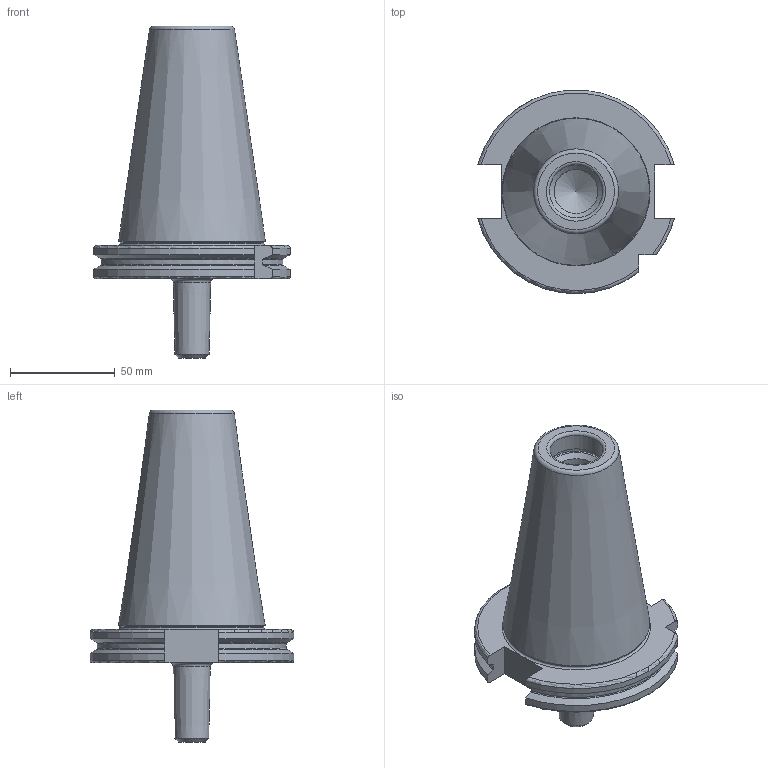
import cadquery as cq
import math

gauge_radius = 69.85 / 2
taper_rate = 7 / 24
taper_length = 101.75
taper_overrun = 1.1
taper_end_fillet = 2.0

relief_radius = 34.4
relief_fillet = 1.0

flange_radius = 97.5 / 2
flange_top = -3.2
flange_bottom = -19.1
flange_thickness = flange_top - flange_bottom
flange_top_fillet = 1.5
flange_bottom_fillet = 1.0

groove_center = -11.1
groove_root_radius = 45.3
groove_rim_width = 7.0
groove_flank_angle = 30
groove_root_fillet = 0.6

drive_slot_width = 25.7
drive_slot_left_face = -35.5
drive_slot_right_face = 37.7
notch_face_x = 30.0
notch_face_y = -30.0

spigot_end = -57.0
spigot_radius = 17.8 / 2
spigot_taper_rate = 0.04
spigot_root_fillet = 1.9
spigot_end_chamfer = 1.8

bore_radius = 25.4 / 2
bore_depth = 11.5
mouth_fillet = 1.5
undercut_radius = 13.8
undercut_width = 2.0
tap_hole_radius = 21.0 / 2
tap_hole_depth = 60.0
drill_half_angle = 59


def taper_radius(z):
    """Radius of the steep taper at height z."""
    return gauge_radius - z * taper_rate / 2


def quarter_arc_inset(radius):
    """Distance, along each axis, from a tangent corner to the middle of its quarter arc."""
    return radius * (1 - math.sqrt(0.5))


def revolve_about_z(profile):
    """Close an XZ profile and spin it around the part axis."""
    return profile.close().revolve(360, (0, 0), (0, 1))


def make_taper():
    """Steep taper shank with a rounded small end and a relieved neck at the large end."""
    taper_end_radius = taper_radius(-taper_overrun)
    relief_depth = taper_end_radius - relief_radius
    relief_cone_bottom = -taper_overrun - relief_depth
    fillet_inset = quarter_arc_inset(relief_fillet)
    profile = (
        cq.Workplane("XZ")
        .moveTo(0, flange_top)
        .lineTo(relief_radius + relief_fillet, flange_top)
        .threePointArc(
            (relief_radius + fillet_inset, flange_top + fillet_inset),
            (relief_radius, flange_top + relief_fillet),
        )
        .lineTo(relief_radius, relief_cone_bottom)
        .lineTo(taper_end_radius, -taper_overrun)
        .lineTo(taper_radius(taper_length), taper_length)
        .lineTo(0, taper_length)
    )
    return revolve_about_z(profile).faces(">Z").edges().fillet(taper_end_fillet)


def make_groove_cutter():
    """Ring-shaped V-groove cutter with a flat root and rounded root corners."""
    rim_half = groove_rim_width / 2
    groove_depth = flange_radius - groove_root_radius
    root_half = rim_half - groove_depth * math.tan(math.radians(groove_flank_angle))
    profile = (
        cq.Workplane("XZ")
        .moveTo(groove_root_radius, groove_center - root_half)
        .lineTo(flange_radius, groove_center - rim_half)
        .lineTo(flange_radius, groove_center + rim_half)
        .lineTo(groove_root_radius, groove_center + root_half)
    )
    root_corners = cq.selectors.RadiusNthSelector(0)
    return revolve_about_z(profile).edges(root_corners).fillet(groove_root_fillet)


def flange_corner_cutter(x_start, x_end, y_start, y_end):
    """Block through the full flange thickness between the given X and Y limits."""
    return cq.Workplane("XY").box(
        x_end - x_start, y_end - y_start, flange_thickness, centered=False
    ).translate((x_start, y_start, flange_bottom))


def make_flange():
    """Round flange with a V-groove, two unequal drive slots and an orientation notch."""
    flange = (
        cq.Workplane("XY")
        .workplane(offset=flange_bottom)
        .circle(flange_radius)
        .extrude(flange_thickness)
    )
    flange = flange.faces(">Z").edges().fillet(flange_top_fillet)
    flange = flange.faces("<Z").edges().fillet(flange_bottom_fillet)
    flange = flange.cut(make_groove_cutter())

    slot_half = drive_slot_width / 2
    cutouts = [
        (-flange_radius, drive_slot_left_face, -slot_half, slot_half),
        (drive_slot_right_face, flange_radius, -slot_half, slot_half),
        (notch_face_x, flange_radius, -flange_radius, notch_face_y),
    ]
    for limits in cutouts:
        flange = flange.cut(flange_corner_cutter(*limits))
    return flange


def make_spigot():
    """Slim tapered spigot with a filleted root and a chamfered tip."""
    fillet_inset = quarter_arc_inset(spigot_root_fillet)
    fillet_end = flange_bottom - spigot_root_fillet
    chamfer_start = spigot_end + spigot_end_chamfer
    tip_radius = spigot_radius - (fillet_end - chamfer_start) * spigot_taper_rate / 2
    profile = (
        cq.Workplane("XZ")
        .moveTo(0, flange_bottom)
        .lineTo(spigot_radius + spigot_root_fillet, flange_bottom)
        .threePointArc(
            (spigot_radius + fillet_inset, flange_bottom - fillet_inset),
            (spigot_radius, fillet_end),
        )
        .lineTo(tip_radius, chamfer_start)
        .lineTo(tip_radius - spigot_end_chamfer, spigot_end)
        .lineTo(0, spigot_end)
    )
    return revolve_about_z(profile)


def make_bore():
    """Stepped hole: rounded mouth, plain bore, undercut, countersunk tapping hole, drill point."""
    fillet_inset = quarter_arc_inset(mouth_fillet)
    ledge = taper_length - bore_depth
    undercut_top = ledge + undercut_width
    countersink_bottom = ledge - (bore_radius - tap_hole_radius)
    tap_end = taper_length - tap_hole_depth
    drill_tip = tap_end - tap_hole_radius / math.tan(math.radians(drill_half_angle))
    profile = (
        cq.Workplane("XZ")
        .moveTo(0, taper_length)
        .lineTo(bore_radius + mouth_fillet, taper_length)
        .threePointArc(
            (bore_radius + fillet_inset, taper_length - fillet_inset),
            (bore_radius, taper_length - mouth_fillet),
        )
        .lineTo(bore_radius, undercut_top)
        .lineTo(undercut_radius, undercut_top)
        .lineTo(undercut_radius, ledge)
        .lineTo(bore_radius, ledge)
        .lineTo(tap_hole_radius, countersink_bottom)
        .lineTo(tap_hole_radius, tap_end)
        .lineTo(0, drill_tip)
    )
    return revolve_about_z(profile)


result = make_taper().union(make_flange()).union(make_spigot()).cut(make_bore()).solids()